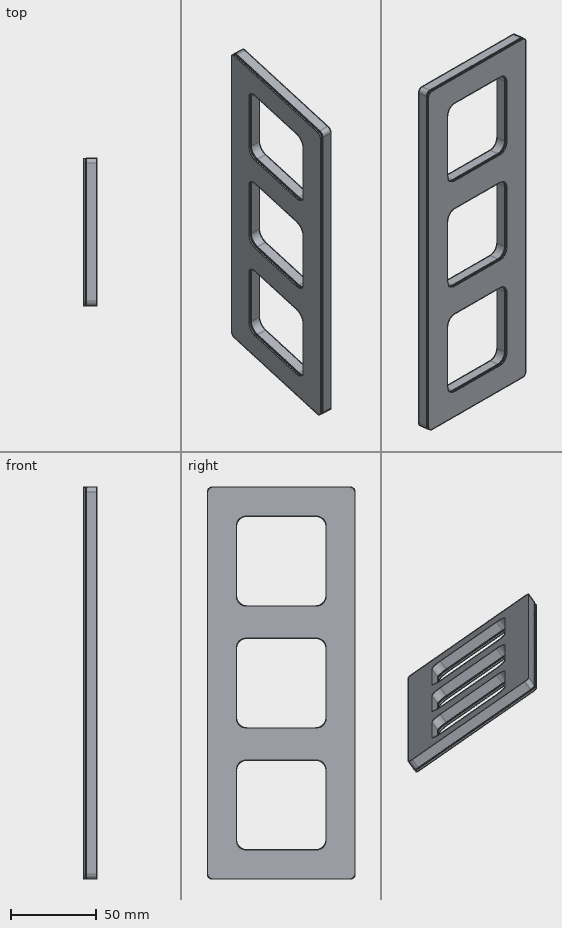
import cadquery as cq

thickness = 7.8
width = 86.0
height = 228
corner_radius = 3.0

window_count = 3
window_pitch = 71.0
window_size = 52.0
window_radius = 6.0

front_thickness = 1.1
front_inset = 0.11

groove_width = 0.57
groove_depth = 0.5

front_x = -thickness / 2
groove_x = front_x + front_thickness
body_x = groove_x + groove_width
body_thickness = thickness - front_thickness - groove_width


def rounded_prism(start_x, length, size_y, size_z, radius):
    """Block with rounded corners, running from start_x toward +X."""
    return (
        cq.Workplane("YZ", origin=(start_x, 0, 0))
        .rect(size_y, size_z)
        .extrude(length)
        .edges("|X")
        .fillet(radius)
    )


def frame_layer(start_x, length, inset):
    """Slice of the frame whose outer edge and window edges are set back by inset."""
    layer = rounded_prism(start_x, length, width - 2 * inset, height - 2 * inset, corner_radius - inset)
    opening = window_size + 2 * inset
    window = rounded_prism(start_x, length, opening, opening, window_radius + inset)
    for index in range(window_count):
        offset_z = (index - (window_count - 1) / 2) * window_pitch
        layer = layer.cut(window.translate((0, 0, offset_z)))
    return layer


front_layer = frame_layer(front_x, front_thickness, front_inset)
groove_core = frame_layer(groove_x, groove_width, groove_depth)
body = frame_layer(body_x, body_thickness, 0)

result = front_layer.union(groove_core).union(body)